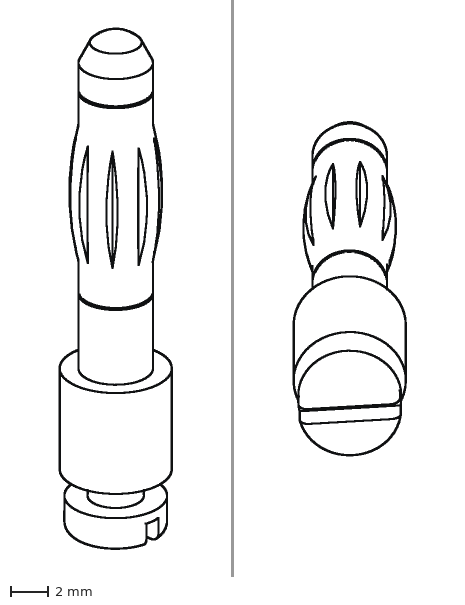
import cadquery as cq
import math

HEAD_TOP = 2.0
COLLAR_BOTTOM = 3.58
COLLAR_TOP = 9.6
LOWER_GROOVE = 14.1
LEAVES_BOTTOM = 16.05
LEAVES_TOP = 24.1
UPPER_GROOVE = 26.1
NOSE_BOTTOM = 27.8
DOME_BOTTOM = 29.0
TIP = 29.6

COLLAR_RADIUS = 6.0 / 2
PIN_RADIUS = 4.0 / 2
DOME_BASE_RADIUS = 1.4
DOME_RISE = TIP - DOME_BOTTOM
DOME_RADIUS = (DOME_BASE_RADIUS ** 2 + DOME_RISE ** 2) / (2 * DOME_RISE)
GROOVE_WIDTH = 0.1
GROOVE_DEPTH = 0.05

LEAF_COUNT = 9
LEAF_PITCH = 360 / LEAF_COUNT
LEAF_CREST_RADIUS = 2.5
LEAF_CREST_HALF_WIDTH = 0.53
LEAF_BASE_HALF_WIDTH = PIN_RADIUS * math.tan(math.radians(LEAF_PITCH / 2))
FIRST_LEAF_ANGLE = -90

HEAD_RADIUS = 2.75
HEAD_FILLET = 0.5
SHANK_RADIUS = 1.5
SHANK_TOP = COLLAR_TOP
SLOT_WIDTH = 0.92
SLOT_DEPTH = 1.42
SCREW_TURN = 21


def cylinder(radius, bottom, top):
    return cq.Workplane("XY").workplane(offset=bottom).circle(radius).extrude(top - bottom)


def make_pin_blank():
    """Collar, pin, conical nose and domed tip turned about Z."""
    dome_mid_radius = DOME_BASE_RADIUS / 2
    dome_mid_height = TIP - DOME_RADIUS + math.sqrt(DOME_RADIUS ** 2 - dome_mid_radius ** 2)
    return (
        cq.Workplane("XZ")
        .moveTo(0, COLLAR_BOTTOM)
        .lineTo(COLLAR_RADIUS, COLLAR_BOTTOM)
        .lineTo(COLLAR_RADIUS, COLLAR_TOP)
        .lineTo(PIN_RADIUS, COLLAR_TOP)
        .lineTo(PIN_RADIUS, NOSE_BOTTOM)
        .lineTo(DOME_BASE_RADIUS, DOME_BOTTOM)
        .threePointArc((dome_mid_radius, dome_mid_height), (0, TIP))
        .close()
        .revolve(360, (0, 0), (0, 1))
    )


def make_groove(height):
    """Ring to cut a shallow groove centred on the given height."""
    bottom = height - GROOVE_WIDTH / 2
    top = height + GROOVE_WIDTH / 2
    return cylinder(COLLAR_RADIUS, bottom, top).cut(cylinder(PIN_RADIUS - GROOVE_DEPTH, bottom, top))


def make_bulge():
    """Barrel-shaped envelope of the spring leaves."""
    middle = (LEAVES_BOTTOM + LEAVES_TOP) / 2
    return (
        cq.Workplane("XZ")
        .moveTo(0, LEAVES_BOTTOM)
        .lineTo(PIN_RADIUS, LEAVES_BOTTOM)
        .threePointArc((LEAF_CREST_RADIUS, middle), (PIN_RADIUS, LEAVES_TOP))
        .lineTo(0, LEAVES_TOP)
        .close()
        .revolve(360, (0, 0), (0, 1))
    )


def make_leaf(angle):
    """One spring leaf, with its sides tapering outwards."""
    taper = (LEAF_BASE_HALF_WIDTH - LEAF_CREST_HALF_WIDTH) / (LEAF_CREST_RADIUS - PIN_RADIUS)
    outer_radius = COLLAR_RADIUS
    outer_half_width = LEAF_BASE_HALF_WIDTH - taper * (outer_radius - PIN_RADIUS)
    wedge = (
        cq.Workplane("XY")
        .workplane(offset=LEAVES_BOTTOM)
        .polyline([
            (0, 0),
            (PIN_RADIUS, -LEAF_BASE_HALF_WIDTH),
            (outer_radius, -outer_half_width),
            (outer_radius, outer_half_width),
            (PIN_RADIUS, LEAF_BASE_HALF_WIDTH),
        ])
        .close()
        .extrude(LEAVES_TOP - LEAVES_BOTTOM)
        .rotate((0, 0, 0), (0, 0, 1), angle)
    )
    return make_bulge().intersect(wedge)


def make_plug():
    plug = make_pin_blank()
    for height in (LOWER_GROOVE, UPPER_GROOVE):
        plug = plug.cut(make_groove(height))
    for index in range(LEAF_COUNT):
        plug = plug.union(make_leaf(FIRST_LEAF_ANGLE + index * LEAF_PITCH))
    screw_hole = cylinder(SHANK_RADIUS, COLLAR_BOTTOM, SHANK_TOP)
    return plug.cut(screw_hole)


def make_screw():
    """Slotted cheese-head screw, head down."""
    head = cylinder(HEAD_RADIUS, 0, HEAD_TOP).faces("<Z").edges().fillet(HEAD_FILLET)
    slot = cq.Workplane("XY").rect(2 * COLLAR_RADIUS, SLOT_WIDTH).extrude(SLOT_DEPTH)
    shank = cylinder(SHANK_RADIUS, HEAD_TOP, SHANK_TOP)
    screw = head.cut(slot).union(shank)
    return screw.rotate((0, 0, 0), (0, 0, 1), SCREW_TURN)


plug = make_plug()
screw = make_screw()
result = cq.Compound.makeCompound([plug.solids().val(), screw.solids().val()])